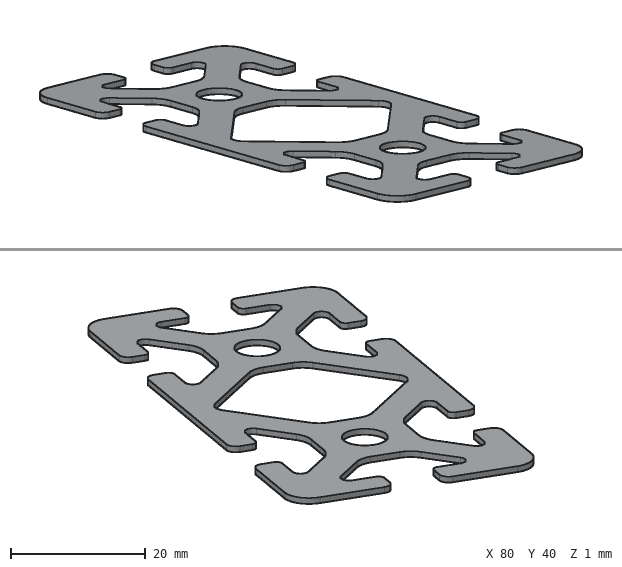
import cadquery as cq

cell = 40.0
thickness = 1.0
corner_radius = 4.0

bore_diameter = 6.8

half_cell = cell / 2
slot_opening = 8.0
lip_thickness = 4.5
core_half_width = 7.7
strut_offset = 3.7

lip_outer_radius = 1.5
lip_inner_radius = 1.0
slot_tip_radius = 1.3
slot_floor_radius = 4.0
window_tip_radius = 2.0

length = 2 * cell
half_opening = slot_opening / 2
lip_underside = half_cell - lip_thickness
cut_margin = 0.8


def fillet_corners(body, corners, radius):
    """Round the vertical edges of body standing at the given XY corners."""
    tolerance = 0.01
    selected = body.edges("|Z").filter(
        lambda edge: any(
            abs(edge.Center().x - x) < tolerance and abs(edge.Center().y - y) < tolerance
            for x, y in corners
        )
    )
    return selected.fillet(radius)


def mirrored(x, y):
    """Return a corner and its twin on the other side of the slot centreline."""
    return [(-x, y), (x, y)]


def make_slot():
    """T-slot cutter that opens toward +Y from a cell centred on the origin."""
    mouth = half_cell + cut_margin
    tip_x = lip_underside - strut_offset
    floor_x = core_half_width - strut_offset
    slot = (
        cq.Workplane("XY")
        .moveTo(half_opening, mouth)
        .lineTo(half_opening, lip_underside)
        .lineTo(tip_x, lip_underside)
        .lineTo(floor_x, core_half_width)
        .lineTo(-floor_x, core_half_width)
        .lineTo(-tip_x, lip_underside)
        .lineTo(-half_opening, lip_underside)
        .lineTo(-half_opening, mouth)
        .close()
        .extrude(thickness)
    )
    slot = fillet_corners(slot, mirrored(half_opening, lip_underside), lip_inner_radius)
    slot = fillet_corners(slot, mirrored(tip_x, lip_underside), slot_tip_radius)
    return fillet_corners(slot, mirrored(floor_x, core_half_width), slot_floor_radius)


def make_window():
    """Diamond cutter between the two cells, cut flat by the cores at its sides."""
    tip_y = half_cell - strut_offset
    side_x = half_cell - core_half_width
    side_y = core_half_width - strut_offset
    window = (
        cq.Workplane("XY")
        .polyline([
            (0, tip_y), (side_x, side_y), (side_x, -side_y),
            (0, -tip_y), (-side_x, -side_y), (-side_x, side_y),
        ])
        .close()
        .extrude(thickness)
    )
    window = fillet_corners(window, [(0, tip_y), (0, -tip_y)], window_tip_radius)
    sides = mirrored(side_x, side_y) + mirrored(side_x, -side_y)
    return fillet_corners(window, sides, slot_floor_radius)


plate = (
    cq.Workplane("XY")
    .rect(length, cell)
    .extrude(thickness)
    .edges("|Z")
    .fillet(corner_radius)
)

slot = make_slot()
lip_corners = []
for side in (-1, 1):
    cell_x = side * half_cell
    for angle in (0, 180, side * -90):
        placed_slot = slot.rotate((0, 0, 0), (0, 0, 1), angle).translate((cell_x, 0, 0))
        plate = plate.cut(placed_slot)
    for offset in (-half_opening, half_opening):
        lip_corners += [
            (cell_x + offset, half_cell),
            (cell_x + offset, -half_cell),
            (side * length / 2, offset),
        ]
plate = fillet_corners(plate, lip_corners, lip_outer_radius)

plate = plate.cut(make_window())
bores = (
    cq.Workplane("XY")
    .pushPoints([(-half_cell, 0), (half_cell, 0)])
    .circle(bore_diameter / 2)
    .extrude(thickness)
)
result = plate.cut(bores)